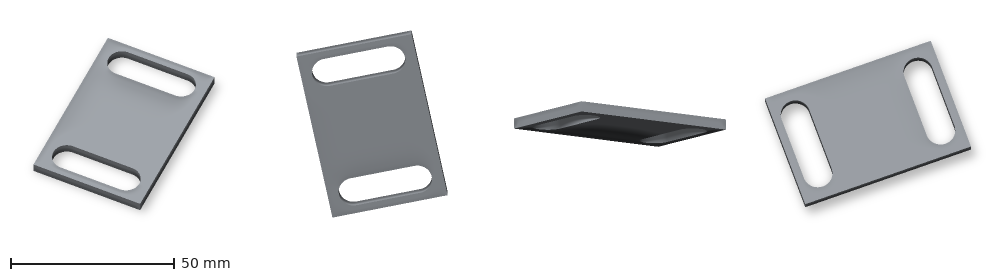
import cadquery as cq

plate_width = 36.0
plate_length = 54.0
plate_thickness = 3.2

slot_length = 29.0
slot_width = 9.0
slot_spacing = 40.0

plate = cq.Workplane("XY").box(plate_width, plate_length, plate_thickness)

result = (
    plate.faces(">Z")
    .workplane()
    .pushPoints([(0, -slot_spacing / 2), (0, slot_spacing / 2)])
    .slot2D(slot_length, slot_width)
    .cutThruAll()
)